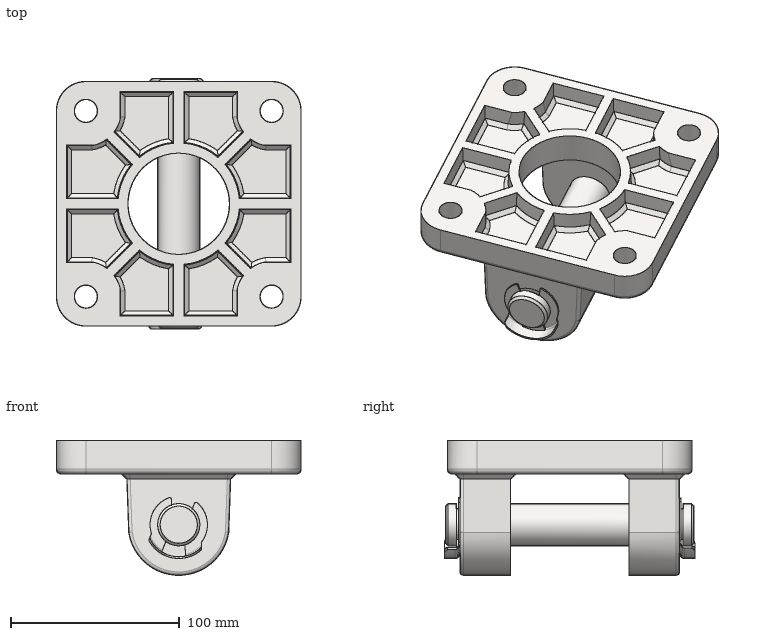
import cadquery as cq
import math

plate_size = 145.0
plate_thickness = 20.0
plate_corner_radius = 17.5
plate_bottom_fillet = 3.0
bore_diameter = 60.0
bolt_offset = plate_size / 2 - plate_corner_radius
bolt_hole_diameter = 13.5

wall_thickness = 6.0
rib_half_width = wall_thickness / 2
pocket_outer = plate_size / 2 - wall_thickness
pocket_inner_radius = bore_diameter / 2 + wall_thickness
pocket_side = 34.9
bolt_boss_radius = 20.9
pocket_depth = 12.5
pocket_chamfer = 2.5
pocket_draft = 3.0

pin_z = -50.0
lug_radius = 30.0
lug_side_angle = 2.0
lug_arc_end_drop = 4.5
lug_inner_y = 35.0
lug_outer_y = 65.0
lug_edge_fillet = 2.0
lug_root_chamfer = 3.0

pin_diameter = 25.0
pin_length = 147.0
pin_chamfer = 1.5
groove_radius = 9.6
groove_width = 2.2

clip_thickness = 1.0
clip_radius = 17.0
clip_flare_angle = 12.0
clip_mouth_half_width = 4.0
clip_tip_fillet = 1.0
tab_half_width = 13.3
lip_radius = 20.0
lip_height = 9.25
lip_corner_radius = 2.5
bend_outer_radius = 3.0
bend_inner_radius = 0.8
pad_half_width = 3.4
front_clip_roll = 10.0
rear_clip_roll = 6.5


def pocket_outline(height, inset, boss_radius):
    """Closed pocket outline at one height; inset moves every side but the bolt boss inward."""
    rib = rib_half_width + inset
    rim_radius = pocket_inner_radius + inset
    outer = pocket_outer - inset
    side = pocket_side - inset

    def on_bore_rim(angle):
        return cq.Vector(rim_radius * math.cos(angle), rim_radius * math.sin(angle), height)

    def on_bolt_boss(angle):
        x = bolt_offset + boss_radius * math.cos(angle)
        y = bolt_offset + boss_radius * math.sin(angle)
        return cq.Vector(x, y, height)

    rim_rib_angle = math.asin(rib / rim_radius)
    boss_side_angle = math.pi + math.acos((bolt_offset - side) / boss_radius)
    boss_rib_angle = math.pi * 5 / 4 - math.asin(rib / boss_radius)
    boss_mid_angle = (boss_side_angle + boss_rib_angle) / 2

    rib_corner = cq.Vector(rib, outer, height)
    side_corner = cq.Vector(side, outer, height)
    boss_start = on_bolt_boss(boss_side_angle)
    boss_end = on_bolt_boss(boss_rib_angle)
    rim_start = on_bore_rim(math.pi / 4 + rim_rib_angle)
    rim_end = on_bore_rim(math.pi / 2 - rim_rib_angle)
    return cq.Wire.assembleEdges([
        cq.Edge.makeLine(rib_corner, side_corner),
        cq.Edge.makeLine(side_corner, boss_start),
        cq.Edge.makeThreePointArc(boss_start, on_bolt_boss(boss_mid_angle), boss_end),
        cq.Edge.makeLine(boss_end, rim_start),
        cq.Edge.makeThreePointArc(rim_start, on_bore_rim(math.pi * 3 / 8), rim_end),
        cq.Edge.makeLine(rim_end, rib_corner),
    ])


def make_pocket():
    """Pocket cutter between the +Y rib and the diagonal rib: drafted walls, chamfered floor."""
    wall_depth = pocket_depth - pocket_chamfer
    wall_inset = wall_depth * math.tan(math.radians(pocket_draft))
    floor_boss_radius = bolt_boss_radius + pocket_chamfer
    outlines = [
        pocket_outline(0, 0, bolt_boss_radius),
        pocket_outline(-wall_depth, wall_inset, bolt_boss_radius),
        pocket_outline(-pocket_depth, wall_inset + pocket_chamfer, floor_boss_radius),
    ]
    return cq.Workplane(cq.Solid.makeLoft(outlines, True))


def make_lug():
    """Lug on the -Y side: rounded lower end, flanks widening slightly toward the plate."""
    arc_end_x = math.sqrt(lug_radius**2 - lug_arc_end_drop**2)
    arc_end_z = pin_z - lug_arc_end_drop
    root_z = -plate_thickness
    root_x = arc_end_x + (root_z - arc_end_z) * math.tan(math.radians(lug_side_angle))
    lug = (
        cq.Workplane("XZ", origin=(0, -lug_inner_y, 0))
        .moveTo(-root_x, root_z)
        .lineTo(-arc_end_x, arc_end_z)
        .threePointArc((0, pin_z - lug_radius), (arc_end_x, arc_end_z))
        .lineTo(root_x, root_z)
        .close()
        .extrude(lug_outer_y - lug_inner_y)
    )
    return lug.faces("<Y").edges("not >Z").fillet(lug_edge_fillet)


def make_bracket():
    plate = (
        cq.Workplane("XY")
        .rect(plate_size, plate_size)
        .extrude(-plate_thickness)
        .edges("|Z")
        .fillet(plate_corner_radius)
        .faces("<Z")
        .edges()
        .fillet(plate_bottom_fillet)
    )
    lug = make_lug()
    bracket = plate.union(lug).union(lug.mirror("XZ"))

    margin = lug_root_chamfer / 2
    for side in (-1, 1):
        root_edges = cq.selectors.BoxSelector(
            (-lug_radius - margin, side * (lug_inner_y - margin), -plate_thickness - margin),
            (lug_radius + margin, side * (lug_outer_y + margin), -plate_thickness + margin),
        )
        bracket = bracket.edges(root_edges).chamfer(lug_root_chamfer)

    bore = cq.Workplane("XY").circle(bore_diameter / 2).extrude(-plate_thickness)
    bolt_holes = (
        cq.Workplane("XY")
        .rect(2 * bolt_offset, 2 * bolt_offset, forConstruction=True)
        .vertices()
        .circle(bolt_hole_diameter / 2)
        .extrude(-plate_thickness)
    )
    pin_hole = (
        cq.Workplane("XZ", origin=(0, 0, pin_z))
        .circle(pin_diameter / 2)
        .extrude(lug_outer_y, both=True)
    )
    bracket = bracket.cut(bore).cut(bolt_holes).cut(pin_hole)

    pocket = make_pocket()
    mirrored_pocket = pocket.mirror("YZ")
    for angle in (0, 90, 180, 270):
        for cutter in (pocket, mirrored_pocket):
            bracket = bracket.cut(cutter.rotate((0, 0, 0), (0, 0, 1), angle))
    return bracket


def make_pin():
    """Plain pin with chamfered ends and a retaining groove just outside each lug."""
    pin = (
        cq.Workplane("XZ", origin=(0, pin_length / 2, pin_z))
        .circle(pin_diameter / 2)
        .extrude(pin_length)
        .faces("<Y or >Y")
        .edges()
        .chamfer(pin_chamfer)
    )
    groove = (
        cq.Workplane("XZ", origin=(0, -lug_outer_y, pin_z))
        .circle(pin_diameter)
        .circle(groove_radius)
        .extrude(groove_width)
    )
    return pin.cut(groove).cut(groove.mirror("XZ"))


def flared_prism(half_width_at_center, start_y, end_y, height):
    """Prism symmetric about local Y whose flanks spread at the clip flare angle."""
    slope = math.tan(math.radians(clip_flare_angle))
    start_half = half_width_at_center + slope * abs(start_y)
    end_half = half_width_at_center + slope * abs(end_y)
    return (
        cq.Workplane("XY")
        .polyline([(-start_half, start_y), (start_half, start_y), (end_half, end_y), (-end_half, end_y)])
        .close()
        .extrude(height)
    )


def make_clip(roll, side):
    """Open ring that snaps into a pin groove, with a bent-up lip opposite its mouth.

    Built with the mouth toward local +Y and the lip toward local -Y, rising along local +Z.
    """
    ring = cq.Workplane("XY").circle(clip_radius).circle(groove_radius).extrude(clip_thickness)
    mouth = flared_prism(clip_mouth_half_width, 0, lip_radius, clip_thickness)
    ring = ring.cut(mouth)
    tip_zone_y = (groove_radius + clip_radius) / 2
    outer_tips = cq.selectors.BoxSelector(
        (-clip_radius, tip_zone_y, 0), (clip_radius, clip_radius, clip_thickness)
    )
    ring = ring.edges("|Z").edges(outer_tips).fillet(clip_tip_fillet)

    lip_inner_radius = lip_radius - clip_thickness
    cos_45 = math.sqrt(0.5)
    lip_turn = (
        cq.Workplane("XZ")
        .moveTo(groove_radius, 0)
        .lineTo(lip_radius - bend_outer_radius, 0)
        .threePointArc(
            (lip_radius - bend_outer_radius * (1 - cos_45), bend_outer_radius * (1 - cos_45)),
            (lip_radius, bend_outer_radius),
        )
        .lineTo(lip_radius, lip_height)
        .lineTo(lip_inner_radius, lip_height)
        .lineTo(lip_inner_radius, clip_thickness + bend_inner_radius)
        .threePointArc(
            (
                lip_inner_radius - bend_inner_radius * (1 - cos_45),
                clip_thickness + bend_inner_radius * (1 - cos_45),
            ),
            (lip_inner_radius - bend_inner_radius, clip_thickness),
        )
        .lineTo(groove_radius, clip_thickness)
        .close()
        .revolve(360, (0, 0, 0), (0, 1, 0))
    )
    lip = lip_turn.intersect(flared_prism(tab_half_width, 0, -lip_radius, lip_height))

    lip_end_x = lip.val().BoundingBox().xmax
    rounded_front = (
        cq.Workplane("XZ")
        .rect(2 * lip_end_x, 2 * lip_height)
        .extrude(lip_radius)
        .edges("|Y")
        .fillet(lip_corner_radius)
    )
    lip = lip.intersect(rounded_front)

    pad_height = groove_width
    pad_annulus = (
        cq.Workplane("XY")
        .workplane(offset=clip_thickness)
        .circle(lip_inner_radius)
        .circle(groove_radius)
        .extrude(pad_height - clip_thickness)
    )
    pad = pad_annulus.intersect(flared_prism(pad_half_width, 0, -lip_radius, pad_height))

    clip = ring.union(lip).union(pad)
    clip = clip.rotate((0, 0, 0), (1, 0, 0), 90).rotate((0, 0, 0), (0, 1, 0), roll)
    clip = clip.translate((0, -lug_outer_y, pin_z))
    return clip if side < 0 else clip.mirror("XZ")


bracket = make_bracket()
pin = make_pin()
clips = [make_clip(front_clip_roll, -1), make_clip(rear_clip_roll, 1)]

result = cq.Compound.makeCompound([bracket.val(), pin.val(), *[clip.val() for clip in clips]])